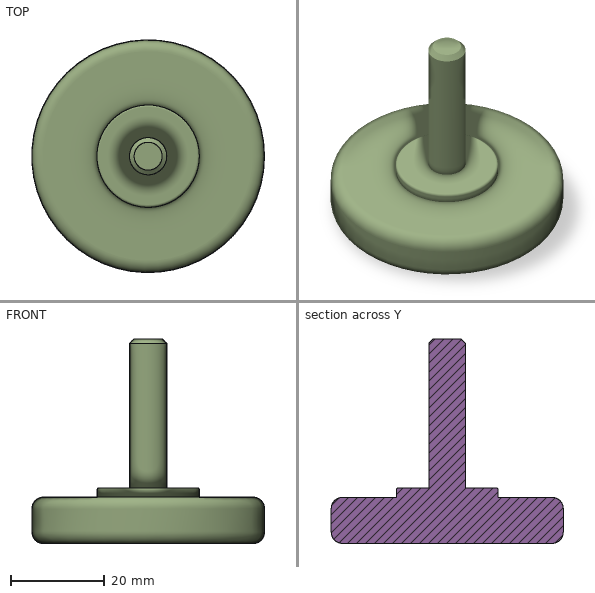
import cadquery as cq

disc_diameter = 50.0
disc_height = 10.0
disc_edge_radius = 2.5

collar_diameter = 22.0
collar_height = 2.0
collar_edge_radius = 0.5

stud_diameter = 8.0
stud_length = 32.0
stud_chamfer = 1.0


def make_disc():
    """Disc standing on Z = 0 with both rims rounded."""
    disc = cq.Workplane("XY").circle(disc_diameter / 2).extrude(disc_height)
    return disc.faces("<Z or >Z").edges().fillet(disc_edge_radius)


def make_collar():
    """Low round collar with a softened top rim."""
    collar = (
        cq.Workplane("XY")
        .workplane(offset=disc_height)
        .circle(collar_diameter / 2)
        .extrude(collar_height)
    )
    return collar.faces(">Z").edges().fillet(collar_edge_radius)


def make_stud():
    """Plain cylindrical stud with a chamfered tip."""
    stud = (
        cq.Workplane("XY")
        .workplane(offset=disc_height + collar_height)
        .circle(stud_diameter / 2)
        .extrude(stud_length)
    )
    return stud.faces(">Z").edges().chamfer(stud_chamfer)


result = make_disc().union(make_collar()).union(make_stud())